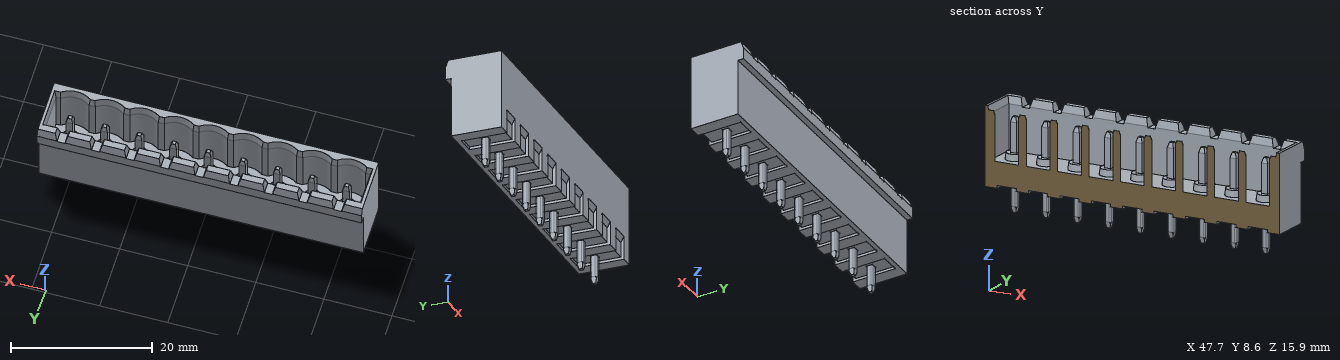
import cadquery as cq

LENGTH = 47.7
BODY_DEPTH = 7.7
TOTAL_DEPTH = 8.6
BODY_HEIGHT = 12.03
TOTAL_HEIGHT = 15.9

PIN_COUNT = 9
PIN_ROW_LENGTH = 40.65
PITCH = PIN_ROW_LENGTH / (PIN_COUNT - 1)
PIN_Y = BODY_DEPTH / 2
PIN_X = [i * PITCH - PIN_ROW_LENGTH / 2 for i in range(PIN_COUNT)]

LIP_HEIGHT = 3.0
LIP_BEVEL_DEPTH = 0.45
LIP_BEVEL_HEIGHT = 1.2

END_WALL = 0.75
FRONT_WALL = 1.57
BACK_WALL = 0.75
FLOOR_Z = 4.0
LEAD_IN_WIDTH = 0.3
LEAD_IN_HEIGHT = 1.15
CAVITY_LENGTH = LENGTH - 2 * END_WALL
CAVITY_DEPTH = BODY_DEPTH - FRONT_WALL - BACK_WALL
CAVITY_Y = FRONT_WALL + CAVITY_DEPTH / 2
LEAD_IN_Z = BODY_HEIGHT - LEAD_IN_HEIGHT

SCALLOP_RADIUS = 3.4
SCALLOP_WALL = 0.85
SCALLOP_Y = SCALLOP_WALL + SCALLOP_RADIUS

NOTCH_TOP_WIDTH = 1.85
NOTCH_FLOOR_WIDTH = 1.15
NOTCH_DEPTH = 1.35

COLLAR_BASE_RADIUS = 1.45
COLLAR_TOP_RADIUS = 1.3
COLLAR_HEIGHT = 1.0

WINDOW_WIDTH = 3.0
WINDOW_DEPTH = 0.5
WINDOW_HEIGHT = 3.6
WINDOW_SLOPE_HEIGHT = 0.85
SLOT_HEIGHT = 0.45
SLOT_END_Y = BODY_DEPTH - BACK_WALL

PIN_WIDTH = 1.0
PIN_TOP_Z = 10.25
PIN_BOTTOM_Z = BODY_HEIGHT - TOTAL_HEIGHT
PIN_TOP_TAPER = 0.75
PIN_TIP_WIDTH = 0.52
PIN_TAIL_FILLET = 0.25
PIN_TAIL_TAPER = 0.95


def extrude_side_profile(points, width, x_center):
    """Extrude a (Y, Z) outline along X, centred on x_center."""
    profile = cq.Workplane("YZ", origin=(x_center, 0, 0)).polyline(points).close()
    return profile.extrude(width / 2, both=True)


def make_shell():
    return extrude_side_profile(
        [
            (0, 0),
            (BODY_DEPTH, 0),
            (BODY_DEPTH, BODY_HEIGHT - LIP_HEIGHT),
            (TOTAL_DEPTH, BODY_HEIGHT - LIP_HEIGHT),
            (TOTAL_DEPTH, BODY_HEIGHT - LIP_BEVEL_HEIGHT),
            (TOTAL_DEPTH - LIP_BEVEL_DEPTH, BODY_HEIGHT),
            (0, BODY_HEIGHT),
        ],
        LENGTH,
        0,
    )


def make_cavity():
    """Rectangular cavity whose walls lean outwards near the mouth."""
    straight = (
        cq.Workplane("XY", origin=(0, CAVITY_Y, FLOOR_Z))
        .rect(CAVITY_LENGTH, CAVITY_DEPTH)
        .extrude(BODY_HEIGHT - FLOOR_Z)
    )
    mouth = (
        cq.Workplane("XY", origin=(0, CAVITY_Y, LEAD_IN_Z))
        .rect(CAVITY_LENGTH, CAVITY_DEPTH)
        .workplane(offset=LEAD_IN_HEIGHT)
        .rect(CAVITY_LENGTH + 2 * LEAD_IN_WIDTH, CAVITY_DEPTH + 2 * LEAD_IN_WIDTH)
        .loft(ruled=True)
    )
    return straight.union(mouth)


def make_scallop(x):
    """Front part of a cylinder with a conical mouth, reaching into the front wall."""
    height = BODY_HEIGHT - FLOOR_Z
    cylinder = cq.Workplane("XY", origin=(x, SCALLOP_Y, FLOOR_Z)).circle(SCALLOP_RADIUS).extrude(height)
    mouth = (
        cq.Workplane("XY", origin=(x, SCALLOP_Y, LEAD_IN_Z))
        .circle(SCALLOP_RADIUS)
        .workplane(offset=LEAD_IN_HEIGHT)
        .circle(SCALLOP_RADIUS + LEAD_IN_WIDTH)
        .loft(ruled=True)
    )
    front_part = (
        cq.Workplane("XY", origin=(x, 0, FLOOR_Z))
        .rect(PITCH, 2 * CAVITY_Y)
        .extrude(height)
    )
    return cylinder.union(mouth).intersect(front_part)


def make_notch(x):
    return (
        cq.Workplane("XZ", origin=(x, CAVITY_Y, BODY_HEIGHT))
        .polyline(
            [
                (-NOTCH_TOP_WIDTH / 2, 0),
                (-NOTCH_FLOOR_WIDTH / 2, -NOTCH_DEPTH),
                (NOTCH_FLOOR_WIDTH / 2, -NOTCH_DEPTH),
                (NOTCH_TOP_WIDTH / 2, 0),
            ]
        )
        .close()
        .extrude(-TOTAL_DEPTH)
    )


def make_collar(x):
    return (
        cq.Workplane("XY", origin=(x, PIN_Y, FLOOR_Z))
        .circle(COLLAR_BASE_RADIUS)
        .workplane(offset=COLLAR_HEIGHT)
        .circle(COLLAR_TOP_RADIUS)
        .loft(ruled=True)
    )


def make_window(x):
    """Window with a sloping top edge, joined to a shallow slot under the body."""
    return extrude_side_profile(
        [
            (0, 0),
            (0, WINDOW_HEIGHT),
            (WINDOW_DEPTH, WINDOW_HEIGHT - WINDOW_SLOPE_HEIGHT),
            (WINDOW_DEPTH, SLOT_HEIGHT),
            (SLOT_END_Y, SLOT_HEIGHT),
            (SLOT_END_Y, 0),
        ],
        WINDOW_WIDTH,
        x,
    )


def make_pin_hole(x):
    return make_square_bar(x, 0, BODY_HEIGHT)


def make_housing():
    housing = make_shell().cut(make_cavity())
    for x in PIN_X:
        housing = housing.cut(make_scallop(x))
        housing = housing.cut(make_notch(x))
        housing = housing.cut(make_window(x))
        housing = housing.union(make_collar(x))
        housing = housing.cut(make_pin_hole(x))
    return housing


def make_square_taper(x, base_z, end_z):
    """Taper of the full square pin section at base_z down to the small tip face at end_z."""
    return (
        cq.Workplane("XY", origin=(x, PIN_Y, base_z))
        .rect(PIN_WIDTH, PIN_WIDTH)
        .workplane(offset=end_z - base_z)
        .rect(PIN_TIP_WIDTH, PIN_TIP_WIDTH)
        .loft(ruled=True)
    )


def make_square_bar(x, bottom_z, top_z):
    return (
        cq.Workplane("XY", origin=(x, PIN_Y, bottom_z))
        .rect(PIN_WIDTH, PIN_WIDTH)
        .extrude(top_z - bottom_z)
    )


def make_pin(x):
    """Sharp-edged contact above the slot and round-edged tail below it, both tapered at the end."""
    contact_shoulder_z = PIN_TOP_Z - PIN_TOP_TAPER
    contact = make_square_bar(x, SLOT_HEIGHT, contact_shoulder_z)
    contact = contact.union(make_square_taper(x, contact_shoulder_z, PIN_TOP_Z))

    tail_shoulder_z = PIN_BOTTOM_Z + PIN_TAIL_TAPER
    tail = make_square_bar(x, tail_shoulder_z, SLOT_HEIGHT)
    tail = tail.union(make_square_taper(x, tail_shoulder_z, PIN_BOTTOM_Z))
    rounded_bar = make_square_bar(x, PIN_BOTTOM_Z, SLOT_HEIGHT).edges("|Z").fillet(PIN_TAIL_FILLET)
    return contact.union(tail.intersect(rounded_bar))


housing = make_housing()
pins = [make_pin(x) for x in PIN_X]

result = cq.Compound.makeCompound([housing.val(), *[pin.val() for pin in pins]])